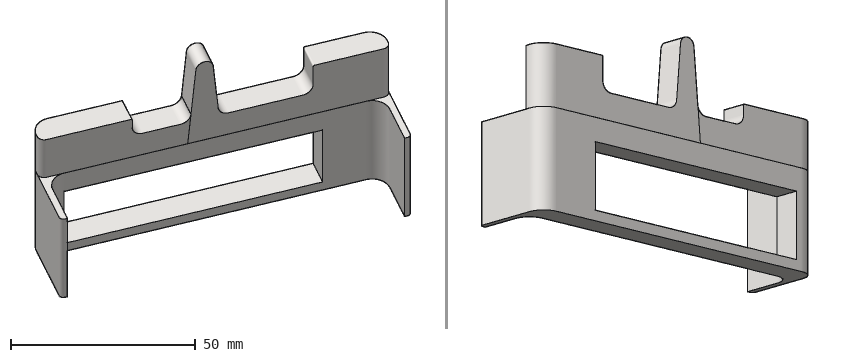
import cadquery as cq
import math

length = 100.5
depth = 25.0
height = 57.9
half_length = length / 2

wall = 7.8
base_height = 29.0
outer_radius = 5.0

arm = 2.0
arm_root_radius = 5.0
arm_tip_radius = 1.2

window_y_min = -43.2
window_y_max = 30.8
window_z_min = 3.0
window_z_max = 22.2

upper_back_radius = 2.0
left_top = 46.9
right_top = 43.0
notch_floor = 36.9
notch_radius = 3.0
left_notch_wall = 28.0
right_notch_wall = -23.7
left_edge_radius = 0.5
right_edge_radius = 0.3

finger_y = -3.0
finger_draft = math.radians(5)
finger_tip_radius = 2.5
finger_tip_center_z = height - finger_tip_radius


def finger_half_width(z):
    """Half the width of the finger at height z; its sloping sides are tangent to the round tip."""
    half_at_tip_center = finger_tip_radius / math.cos(finger_draft)
    return half_at_tip_center + (finger_tip_center_z - z) * math.tan(finger_draft)


def box(x_min, x_max, y_min, y_max, z_min, z_max):
    """Block between the given limits."""
    size = (x_max - x_min, y_max - y_min, z_max - z_min)
    return cq.Workplane("XY").box(*size, centered=False).translate((x_min, y_min, z_min))


def edge_at(y, z):
    """Selector for the edge that runs through the wall along X at (y, z)."""
    return cq.selectors.NearestToPointSelector((wall / 2, y, z))


def make_base():
    """U-shaped bracket with rounded corners and a window."""
    bracket = box(0, depth, -half_length, half_length, 0, base_height)
    bracket = bracket.edges("|Z and <X").fillet(outer_radius)
    bracket = bracket.edges("|Z and >X").fillet(arm_tip_radius)
    inner_half = half_length - arm
    cavity = box(wall, 2 * depth, -inner_half, inner_half, 0, base_height)
    cavity = cavity.edges("|Z and <X").fillet(arm_root_radius)
    window = box(0, wall, window_y_min, window_y_max, window_z_min, window_z_max)
    return bracket.cut(cavity).cut(window)


def round_plate_end(plate, end):
    """Round the two upright corners of a plate at its outer end (">Y" or "<Y")."""
    plate = plate.faces(end).edges("|Z and <X").fillet(outer_radius)
    return plate.faces(end).edges("|Z and >X").fillet(upper_back_radius)


def make_finger_plate():
    """Upper plate on the +Y side, in one piece with the tapered finger."""
    finger_left_root = finger_y + finger_half_width(notch_floor)
    tangent_half = finger_tip_radius * math.cos(finger_draft)
    tangent_z = finger_tip_center_z + finger_tip_radius * math.sin(finger_draft)
    plate = (
        cq.Workplane("YZ")
        .moveTo(finger_y - finger_half_width(base_height), base_height)
        .lineTo(half_length, base_height)
        .lineTo(half_length, left_top)
        .lineTo(left_notch_wall, left_top)
        .lineTo(left_notch_wall, notch_floor)
        .lineTo(finger_left_root, notch_floor)
        .lineTo(finger_y + tangent_half, tangent_z)
        .threePointArc((finger_y, height), (finger_y - tangent_half, tangent_z))
        .close()
        .extrude(wall)
    )
    plate = plate.edges(edge_at(left_notch_wall, notch_floor)).fillet(notch_radius)
    plate = plate.edges(edge_at(finger_left_root, notch_floor)).fillet(notch_radius)
    plate = plate.edges(edge_at(left_notch_wall, left_top)).fillet(left_edge_radius)
    return round_plate_end(plate, ">Y")


def make_side_plate():
    """Upper plate on the -Y side, fitted against the sloping side of the finger."""
    finger_root = finger_y - finger_half_width(notch_floor)
    outline = [
        (-half_length, base_height),
        (finger_y - finger_half_width(base_height), base_height),
        (finger_root, notch_floor),
        (right_notch_wall, notch_floor),
        (right_notch_wall, right_top),
        (-half_length, right_top),
    ]
    plate = cq.Workplane("YZ").polyline(outline).close().extrude(wall)
    plate = plate.edges(edge_at(right_notch_wall, notch_floor)).fillet(notch_radius)
    plate = plate.edges(edge_at(right_notch_wall, right_top)).fillet(right_edge_radius)
    plate = plate.union(make_finger_root_fillet(finger_root))
    return round_plate_end(plate, "<Y")


def make_finger_root_fillet(finger_root):
    """Concave fillet blending the notch floor into the sloping side of the finger."""
    run = notch_radius * math.tan((math.pi / 2 - finger_draft) / 2)
    center_y = finger_root - run
    center_z = notch_floor + notch_radius
    slope_point = (
        finger_root + run * math.sin(finger_draft),
        notch_floor + run * math.cos(finger_draft),
    )
    reach = notch_radius / math.hypot(run, notch_radius)
    middle_point = (center_y + run * reach, center_z - notch_radius * reach)
    return (
        cq.Workplane("YZ")
        .moveTo(center_y, notch_floor)
        .lineTo(finger_root, notch_floor)
        .lineTo(*slope_point)
        .threePointArc(middle_point, (center_y, notch_floor))
        .close()
        .extrude(wall)
    )


base = make_base()
finger_plate = make_finger_plate()
side_plate = make_side_plate()

result = cq.Compound.makeCompound([base.val(), finger_plate.val(), side_plate.val()])